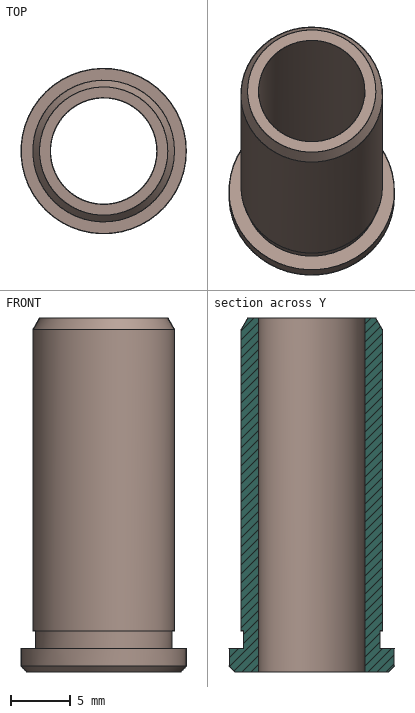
import cadquery as cq

total_height = 30.0
flange_radius = 14.0 / 2
flange_height = 2.0
body_radius = 6.0
bore_radius = 4.5

groove_radius = 5.8
groove_height = 1.5

lead_in_height = 1.0
lead_in_width = 0.57
bevel_height = 0.5
bevel_width = 0.5

groove_top = flange_height + groove_height

half_section = (
    cq.Workplane("XZ")
    .moveTo(bore_radius, 0)
    .lineTo(flange_radius - bevel_width, 0)
    .lineTo(flange_radius, bevel_height)
    .lineTo(flange_radius, flange_height)
    .lineTo(groove_radius, flange_height)
    .lineTo(groove_radius, groove_top)
    .lineTo(body_radius, groove_top)
    .lineTo(body_radius, total_height - lead_in_height)
    .lineTo(body_radius - lead_in_width, total_height)
    .lineTo(bore_radius, total_height)
    .close()
)

result = half_section.revolve(360, (0, 0, 0), (0, 1, 0))